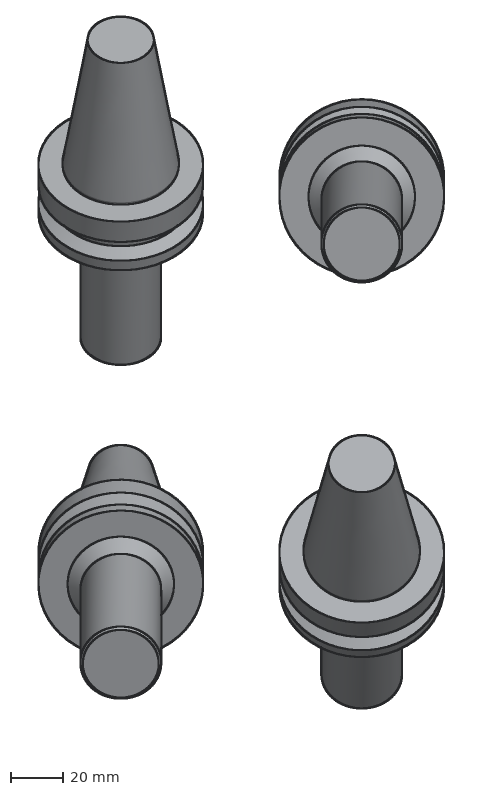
import cadquery as cq

total_height = 159.4
taper_length = 65.4
collar_length = 1.0
flange_height = 26.0
lower_rim_height = 5.1
upper_rim_height = 10.8
groove_floor_width = 4.3
neck_cone_height = 5.0
shank_chamfer = 1.0

flange_diameter = 63.0
groove_diameter = 53.0
taper_large_diameter = 44.5
taper_small_diameter = 25.3
neck_diameter = 40.6
shank_diameter = 31.0

flange_top = total_height - taper_length - collar_length
flange_bottom = flange_top - flange_height
shank_top = flange_bottom - neck_cone_height
groove_bottom = flange_bottom + lower_rim_height
groove_top = flange_top - upper_rim_height
groove_flank_height = (groove_top - groove_bottom - groove_floor_width) / 2

flange_radius = flange_diameter / 2
groove_radius = groove_diameter / 2
collar_radius = taper_large_diameter / 2
shank_radius = shank_diameter / 2

half_section = [
    (0, 0),
    (shank_radius - shank_chamfer, 0),
    (shank_radius, shank_chamfer),
    (shank_radius, shank_top),
    (neck_diameter / 2, flange_bottom),
    (flange_radius, flange_bottom),
    (flange_radius, groove_bottom),
    (groove_radius, groove_bottom + groove_flank_height),
    (groove_radius, groove_top - groove_flank_height),
    (flange_radius, groove_top),
    (flange_radius, flange_top),
    (collar_radius, flange_top),
    (collar_radius, flange_top + collar_length),
    (taper_small_diameter / 2, total_height),
    (0, total_height),
]

result = cq.Workplane("XZ").polyline(half_section).close().revolve(360, (0, 0, 0), (0, 1, 0))